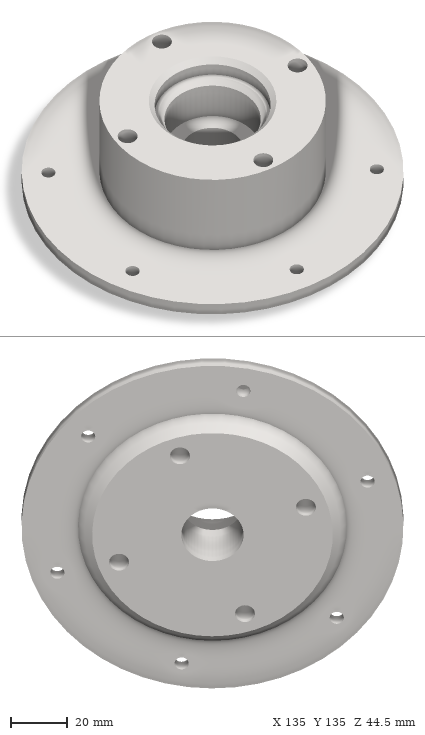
import cadquery as cq

flange_diameter = 135.0
flange_thickness = 5.0
boss_diameter = 80.0
boss_height = 34.5
spigot_height = 5.0
spigot_top_diameter = 95.0

seat_diameter = 41.0
seat_depth = 7.0
pocket_diameter = 34.0
pocket_depth = 24.0
through_diameter = 22.0
bore_chamfer = 2.0

boss_hole_count = 4
boss_hole_diameter = 7.0
boss_hole_circle_radius = 35.0
flange_hole_count = 6
flange_hole_diameter = 5.0
flange_hole_circle_radius = 58.0

flange_radius = flange_diameter / 2
boss_radius = boss_diameter / 2
spigot_top_radius = spigot_top_diameter / 2
spigot_bottom_radius = spigot_top_radius - spigot_height
flange_top = spigot_height + flange_thickness
total_height = flange_top + boss_height


def make_body():
    """Revolve the solid outer profile about Z, with its base at Z = 0."""
    profile = [
        (0, 0),
        (spigot_bottom_radius, 0),
        (spigot_top_radius, spigot_height),
        (flange_radius, spigot_height),
        (flange_radius, flange_top),
        (boss_radius, flange_top),
        (boss_radius, total_height),
        (0, total_height),
    ]
    return cq.Workplane("XZ").polyline(profile).close().revolve(360, (0, 0), (0, 1))


def make_bore():
    """Revolve the stepped bore, including the 45 degree chamfers on both steps."""
    seat_radius = seat_diameter / 2
    pocket_radius = pocket_diameter / 2
    through_radius = through_diameter / 2
    seat_floor = total_height - seat_depth
    pocket_floor = total_height - pocket_depth
    profile = [
        (0, 0),
        (through_radius, 0),
        (through_radius, pocket_floor),
        (pocket_radius, pocket_floor),
        (pocket_radius, seat_floor - bore_chamfer),
        (pocket_radius + bore_chamfer, seat_floor),
        (seat_radius, seat_floor),
        (seat_radius, total_height - bore_chamfer),
        (seat_radius + bore_chamfer, total_height),
        (0, total_height),
    ]
    return cq.Workplane("XZ").polyline(profile).close().revolve(360, (0, 0), (0, 1))


def make_hole_ring(circle_radius, count, diameter):
    """Full-height cylinders evenly spaced around Z, the first one on +X."""
    return (
        cq.Workplane("XY")
        .polarArray(circle_radius, 0, 360, count)
        .circle(diameter / 2)
        .extrude(total_height)
    )


result = (
    make_body()
    .cut(make_bore())
    .cut(make_hole_ring(boss_hole_circle_radius, boss_hole_count, boss_hole_diameter))
    .cut(make_hole_ring(flange_hole_circle_radius, flange_hole_count, flange_hole_diameter))
)